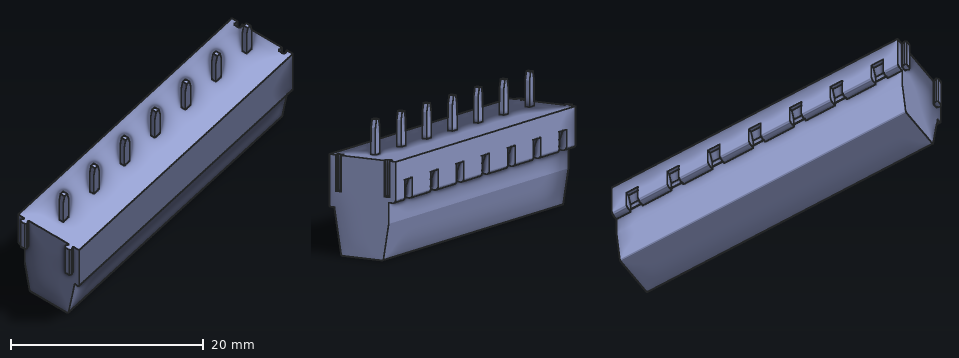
import cadquery as cq
import math


pin_count = 7
pitch = 5.08
body_length = pin_count * pitch
body_width = 8.1
body_height = 10.6
overall_height = 14.31
half_width = body_width / 2
half_length = body_length / 2

left_step_depth = 4.4
left_step_width = 0.87
left_taper_depth = 6.65
left_taper_angle = 9.5
right_step_depth = 5.56
right_step_width = 0.6
right_taper_angle = 9.5
left_shoulder_radius = 0.4
right_shoulder_radius = 0.2
bottom_radius = 0.25

pin_thickness = 0.55
pin_width = 0.9
pin_height = overall_height - body_height
pin_tip_width = 0.45
pin_tip_length = 0.9

window_width = 1.46
window_top_depth = 2.18
window_slope_end_depth = 3.27
window_bottom_depth = 4.03
window_lip = 0.41
window_back = 0.8

dovetail_offset = 2.95
dovetail_height = 3.83
dovetail_reach = 0.6
dovetail_neck_reach = 0.1
dovetail_flare_reach = 0.42
dovetail_neck_width = 0.6
dovetail_flare_width = 0.84
dovetail_tip_width = 0.58


def pin_positions():
    """Y coordinate of every pin, centred on the strip."""
    return [(index - (pin_count - 1) / 2) * pitch for index in range(pin_count)]


def make_housing():
    """Body with a shoulder on each side, flanks that taper downward and rounded lower edges."""
    left_inset = (body_height - left_taper_depth) * math.tan(math.radians(left_taper_angle))
    right_inset = (body_height - right_step_depth) * math.tan(math.radians(right_taper_angle))
    left_flank_x = -half_width + left_step_width
    right_flank_x = half_width - right_step_width
    left_bottom_x = left_flank_x + left_inset
    right_bottom_x = right_flank_x - right_inset
    outline = [
        (-half_width, 0),
        (half_width, 0),
        (half_width, -right_step_depth),
        (right_flank_x, -right_step_depth),
        (right_bottom_x, -body_height),
        (left_bottom_x, -body_height),
        (left_flank_x, -left_taper_depth),
        (left_flank_x, -left_step_depth),
        (-half_width, -left_step_depth),
    ]
    housing = cq.Workplane("XZ").polyline(outline).close().extrude(half_length, both=True)

    def round_edge(solid, x, z, radius):
        edge = cq.selectors.NearestToPointSelector((x, 0, z))
        return solid.edges("|Y").edges(edge).fillet(radius)

    housing = round_edge(housing, -half_width, -left_step_depth, left_shoulder_radius)
    housing = round_edge(housing, half_width, -right_step_depth, right_shoulder_radius)
    housing = round_edge(housing, left_bottom_x, -body_height, bottom_radius)
    return round_edge(housing, right_bottom_x, -body_height, bottom_radius)


def make_window(y):
    """Cutter for one window: a flat lip, a sloped roof and a back wall, open to the flank below."""
    back_x = -half_width + window_back
    flank_x = -half_width + left_step_width
    outline = [
        (-half_width, -window_top_depth),
        (-half_width + window_lip, -window_top_depth),
        (back_x, -window_slope_end_depth),
        (back_x, -window_bottom_depth),
        (flank_x, -window_bottom_depth),
        (flank_x, -left_step_depth),
        (-half_width, -left_step_depth),
    ]
    window = cq.Workplane("XZ").polyline(outline).close().extrude(window_width / 2, both=True)
    return window.translate((0, y, 0))


def make_pin(y):
    """Flat pin, tapered across its width at the tip and standing on the top face."""
    outline = [
        (-pin_width / 2, 0),
        (pin_width / 2, 0),
        (pin_width / 2, pin_height - pin_tip_length),
        (pin_tip_width / 2, pin_height),
        (-pin_tip_width / 2, pin_height),
        (-pin_width / 2, pin_height - pin_tip_length),
    ]
    pin = cq.Workplane("YZ").polyline(outline).close().extrude(pin_thickness / 2, both=True)
    return pin.translate((0, y, 0))


def make_dovetail(x, y):
    """Vertical dovetail bar that reaches toward -Y from the given root point."""
    right_side = [
        (dovetail_neck_width / 2, 0),
        (dovetail_neck_width / 2, -dovetail_neck_reach),
        (dovetail_flare_width / 2, -dovetail_flare_reach),
        (dovetail_tip_width / 2, -dovetail_reach),
    ]
    left_side = [(-side_x, side_y) for side_x, side_y in reversed(right_side)]
    bar = cq.Workplane("XY").polyline(right_side + left_side).close().extrude(-dovetail_height)
    return bar.translate((x, y, 0))


result = make_housing()
for pin_y in pin_positions():
    result = result.cut(make_window(pin_y)).union(make_pin(pin_y))
for dovetail_x in (-dovetail_offset, dovetail_offset):
    result = result.union(make_dovetail(dovetail_x, -half_length))
    result = result.cut(make_dovetail(dovetail_x, half_length))